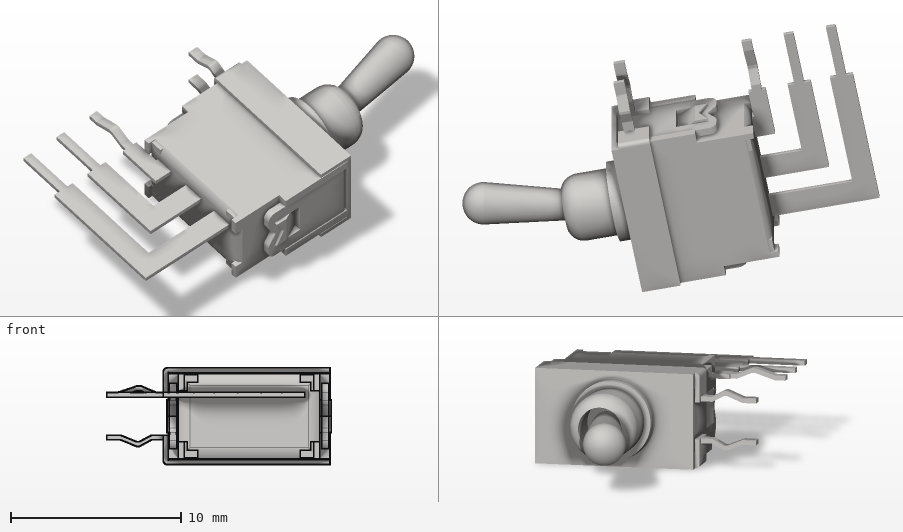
import cadquery as cq
import math


overall_length = 24.05

block_half_width = 4.75
base_half_width = 4.15
housing_half_depth = 2.5
shoulder_y = -5.0
floor_y = -8.1
base_edge_rise = 0.3
base_edge_run = 0.67

leg_thickness = 0.35
leg_end_y = -8.35
leg_inner_z = 1.5
pad_inner_x = 3.0
pad_inner_z = 2.0
pad_step = 0.07
pad_strip = 0.17

arm_inner_x = 4.25
arm_outer_x = 4.7
arm_half_depth = 1.92
arm_end_y = -6.25
arm_corner_radius = 0.5
arm_bend_radius = 0.3
tip_notch_half = 0.8
tip_notch_apex_y = -5.72
window_half_depth = 1.05
window_top_y = -3.85
window_end_y = -5.8
window_apex_y = -5.36
latch_gap = 0.1
latch_outer_x = 4.83
latch_end_y = -5.75
latch_apex_y = -5.22

ring_radius = 2.38
ring_foot_radius = 2.45
ring_top_y = 0.8
ring_foot_top_y = 0.22
ring_foot_fillet = 0.4
bushing_radius = 4.0 / 2
dome_start_y = 2.75
dome_radius = 1.0
mouth_radius = 2.65 / 2
dome_arc_inset = mouth_radius - (bushing_radius - dome_radius)
mouth_y = dome_start_y + math.sqrt(dome_radius**2 - dome_arc_inset**2)

lever_tilt = 12.0
lever_length = 6.37
lever_tip_radius = 1.25
lever_root_radius = 0.82

sheet = 0.3
pin_tip_x = -8.37
pin_root_x = -5.05
sheet_inner_z = 1.1
sheet_outer_z = sheet_inner_z + sheet
kink_height = 0.38

bracket_half_depth = 5.7 / 2
lip_end_y = -2.3
flap_top_y = -0.43
flap_corner_radius = 0.26
bracket_pin_y = -1.13
bracket_pin_width = 0.65
bracket_kink = [-7.55, -6.61, -6.45, -5.72]

terminal_pitch = 2.53
terminal_width = 1.37
short_terminal_width = 1.03
terminal_pin_width = 0.58
first_terminal_y = -8.75
terminal_leg_x = [-2.65, 0.02, 2.6]
short_leg_width = 1.2
terminal_kink = [-7.75, -6.57, -6.35, -5.44]

last_terminal_y = first_terminal_y - (len(terminal_leg_x) - 1) * terminal_pitch
lowest_y = last_terminal_y - terminal_width / 2
tip_above_pivot = lever_length * math.cos(math.radians(lever_tilt)) + lever_tip_radius
pivot_y = lowest_y + overall_length - tip_above_pivot


def box(x0, x1, y0, y1, z0, z1):
    return cq.Workplane("XY").box(x1 - x0, y1 - y0, z1 - z0, centered=False).translate((x0, y0, z0))


def rounded_base_outline(plane, half):
    """Base outline on a plane that holds Y, with large arcs that run tangent into the floor."""
    radius = (base_edge_rise**2 + base_edge_run**2) / (2 * base_edge_rise)
    angle = math.asin(base_edge_run / radius) / 2
    mid_across = half - base_edge_run + radius * math.sin(angle)
    mid_y = floor_y + radius * (1 - math.cos(angle))
    edge_y = floor_y + base_edge_rise
    flat = half - base_edge_run

    def at(across, y):
        return (across, y) if plane == "XY" else (y, across)

    return (
        cq.Workplane(plane)
        .moveTo(*at(-half, shoulder_y))
        .lineTo(*at(-half, edge_y))
        .threePointArc(at(-mid_across, mid_y), at(-flat, floor_y))
        .lineTo(*at(flat, floor_y))
        .threePointArc(at(mid_across, mid_y), at(half, edge_y))
        .lineTo(*at(half, shoulder_y))
        .close()
    )


def make_base():
    across_x = rounded_base_outline("XY", base_half_width).extrude(housing_half_depth, both=True)
    across_z = rounded_base_outline("YZ", housing_half_depth).extrude(base_half_width, both=True)
    return across_x.intersect(across_z)


def make_corner():
    """Leg and L-shaped pad at the +X, +Z corner of the base."""
    leg_inner_x = base_half_width - leg_thickness
    pad_top_z = housing_half_depth - pad_step
    pad_top_y = floor_y + base_edge_rise
    leg = box(leg_inner_x, base_half_width, leg_end_y, pad_top_y, leg_inner_z, housing_half_depth)
    pad = box(pad_inner_x, leg_inner_x, floor_y, pad_top_y, pad_inner_z, pad_top_z)
    strip = box(leg_inner_x - pad_strip, leg_inner_x, floor_y, pad_top_y, leg_inner_z, pad_top_z)
    return leg.union(pad).union(strip)


def make_housing():
    half_width = block_half_width
    half_depth = housing_half_depth
    block = box(-half_width, half_width, shoulder_y, -sheet, -half_depth, half_depth)
    housing = block.union(make_base())
    corner = make_corner()
    for upper in (corner, corner.mirror("XY")):
        housing = housing.union(upper).union(upper.mirror("YZ"))
    return housing


def vee_ended_bar(inner_x, outer_x, half_depth, top_y, end_y, apex_y):
    """Bar along Y whose lower end has a V notch as wide as the bar."""
    outline = [
        (top_y, -half_depth),
        (end_y, -half_depth),
        (apex_y, 0),
        (end_y, half_depth),
        (top_y, half_depth),
    ]
    bar = cq.Workplane("YZ").polyline(outline).close().extrude(outer_x - inner_x)
    return bar.translate((inner_x, 0, 0))


def make_arm():
    """Spring arm on the +X end."""
    arm = box(arm_inner_x, arm_outer_x, arm_end_y, -sheet, -arm_half_depth, arm_half_depth)
    tip_notch = (
        cq.Workplane("YZ")
        .polyline([(arm_end_y, -tip_notch_half), (tip_notch_apex_y, 0), (arm_end_y, tip_notch_half)])
        .close()
        .extrude(arm_outer_x)
    )
    arm = arm.cut(tip_notch)
    arm = arm.edges("|X and <Y").fillet(arm_corner_radius)
    arm = arm.edges(">X and >Y").fillet(arm_bend_radius)
    window = vee_ended_bar(
        arm_inner_x, arm_outer_x, window_half_depth, window_top_y, window_end_y, window_apex_y
    )
    return arm.cut(window)


def make_latch():
    """Snap latch of the +X end: a ramp down to the shoulder, then a flat with a V-shaped end."""
    half_depth = window_half_depth - latch_gap
    latch = vee_ended_bar(
        base_half_width, latch_outer_x, half_depth, window_top_y, latch_end_y, latch_apex_y
    )
    ramp = (
        cq.Workplane("XY")
        .polyline([(arm_inner_x, window_top_y), (latch_outer_x, window_top_y), (latch_outer_x, shoulder_y)])
        .close()
        .extrude(half_depth, both=True)
    )
    return latch.cut(ramp)


def make_bushing():
    """Hollow bushing with a mounting ring, revolved about the toggle axis."""
    socket_floor_y = pivot_y - lever_root_radius
    return (
        cq.Workplane("XY")
        .moveTo(0, -sheet)
        .lineTo(ring_foot_radius, -sheet)
        .lineTo(ring_foot_radius, 0)
        .radiusArc((ring_radius, ring_foot_top_y), ring_foot_fillet)
        .lineTo(ring_radius, ring_top_y)
        .lineTo(bushing_radius, ring_top_y)
        .lineTo(bushing_radius, dome_start_y)
        .radiusArc((mouth_radius, mouth_y), -dome_radius)
        .lineTo(mouth_radius, socket_floor_y)
        .lineTo(0, socket_floor_y)
        .close()
        .revolve(360, (0, 0, 0), (0, 1, 0))
    )


def make_pin(kink, y, width):
    """Pin with an outward kink, running from its tip at -X to its root."""
    start, crest_start, crest_end, end = kink
    path = [
        (pin_tip_x, 0),
        (start, 0),
        (crest_start, kink_height),
        (crest_end, kink_height),
        (end, 0),
        (pin_root_x, 0),
    ]
    outer = [(x, sheet_outer_z + rise) for x, rise in path]
    inner = [(x, sheet_inner_z + rise) for x, rise in reversed(path)]
    strip = cq.Workplane("XZ").polyline(outer + inner).close().extrude(width / 2, both=True)
    return strip.translate((0, y, 0))


def make_bracket():
    plate = box(-block_half_width, block_half_width, -sheet, 0, -bracket_half_depth, bracket_half_depth)
    flap_outer_x = -block_half_width - sheet
    lip_inner_z = bracket_half_depth - sheet
    lip = box(-block_half_width, block_half_width, lip_end_y, 0, lip_inner_z, bracket_half_depth)
    flap = box(flap_outer_x, -block_half_width, lip_end_y, flap_top_y, sheet_inner_z, bracket_half_depth)
    flap = flap.edges("|Y and <X and >Z").fillet(flap_corner_radius)
    pin = make_pin(bracket_kink, bracket_pin_y, bracket_pin_width)
    side = lip.union(flap).union(pin)
    return plate.union(side).union(side.mirror("XY"))


def make_terminal(index):
    """L-shaped terminal; the first is short and has a kinked pin."""
    y = first_terminal_y - index * terminal_pitch
    leg_x = terminal_leg_x[index]
    first = index == 0
    foot_width = short_terminal_width if first else terminal_width
    leg_width = short_leg_width if first else terminal_width
    foot_end_x = leg_x + leg_width / 2
    foot = box(pin_root_x, foot_end_x, y - foot_width / 2, y + foot_width / 2, sheet_inner_z, sheet_outer_z)
    leg = box(leg_x - leg_width / 2, foot_end_x, y, floor_y, sheet_inner_z, sheet_outer_z)
    if first:
        pin = make_pin(terminal_kink, y, terminal_pin_width)
    else:
        pin_half = terminal_pin_width / 2
        pin = box(pin_tip_x, pin_root_x, y - pin_half, y + pin_half, sheet_inner_z, sheet_outer_z)
    return foot.union(leg).union(pin)


def make_switch_body():
    body = make_housing()
    slot = box(arm_inner_x, block_half_width, shoulder_y, -sheet, -arm_half_depth, arm_half_depth)
    arm = make_arm()
    latch = make_latch()
    body = body.cut(slot).cut(slot.mirror("YZ"))
    for feature in (arm, latch):
        body = body.union(feature).union(feature.mirror("YZ"))
    body = body.union(make_bracket()).union(make_bushing())
    for index in range(len(terminal_leg_x)):
        body = body.union(make_terminal(index))
    return body


def make_lever():
    """Tapered lever with a round tip and a round root that rests on the socket floor."""
    lever = (
        cq.Workplane("XY")
        .moveTo(0, -lever_root_radius)
        .radiusArc((lever_root_radius, 0), -lever_root_radius)
        .lineTo(lever_tip_radius, lever_length)
        .radiusArc((0, lever_length + lever_tip_radius), -lever_tip_radius)
        .close()
        .revolve(360, (0, 0, 0), (0, 1, 0))
    )
    return lever.rotate((0, 0, 0), (0, 0, 1), lever_tilt).translate((0, pivot_y, 0))


switch_body = make_switch_body()
lever = make_lever()

result = cq.Compound.makeCompound([switch_body.solids().val(), lever.solids().val()])